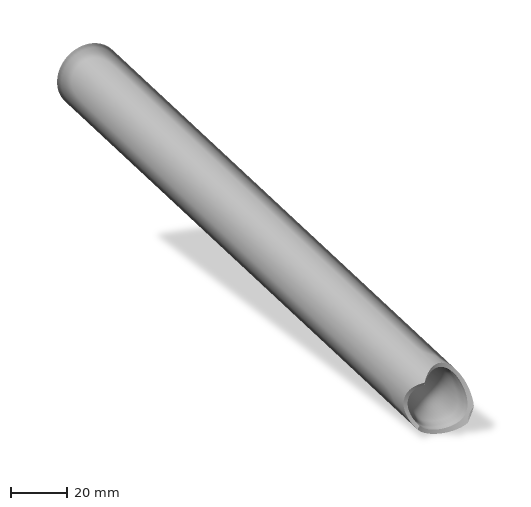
import cadquery as cq
import math

tube_diameter = 25.0
wall = 1.5

run_x = 100.0
run_y = 17.2
run_z = -22.0

crossing_diameter = 28.0
upper_distance = 258.0
upper_roll = 20.8
upper_lean = 15.8
side_distance = 260.9
side_roll = -85.0
side_lean = 18.0

overrun = tube_diameter
cutter_size = 4 * tube_diameter

origin = cq.Vector(0, 0, 0)
x_direction = cq.Vector(1, 0, 0)
z_direction = cq.Vector(0, 0, 1)
tube_axis = cq.Vector(run_x, run_y, run_z).normalized()
level_side = z_direction.cross(tube_axis).normalized()
upright = tube_axis.cross(level_side)


def make_rod(start, direction, diameter, length):
    return cq.Workplane(cq.Solid.makeCylinder(diameter / 2, length, start, direction))


def make_tube():
    """Straight tube, overlong at both ends."""
    start = tube_axis * -overrun
    length = overrun + side_distance + overrun
    outside = make_rod(start, tube_axis, tube_diameter, length)
    bore = make_rod(start, tube_axis, tube_diameter - 2 * wall, length)
    return outside.cut(bore)


def make_mitre_cutter():
    """Block whose face halves the angle between the tube and the X axis."""
    mitre_face = cq.Workplane(cq.Plane(origin, normal=tube_axis + x_direction))
    return mitre_face.rect(cutter_size, cutter_size).extrude(-cutter_size)


def make_notch_cutter(distance, roll_degrees, lean_degrees):
    """Crossing rod, together with everything beyond its axis."""
    roll = math.radians(roll_degrees)
    lean = math.radians(lean_degrees)
    square = upright * math.cos(roll) + level_side * math.sin(roll)
    rod_axis = square * math.cos(lean) - tube_axis * math.sin(lean)
    outward = tube_axis * math.cos(lean) + square * math.sin(lean)
    centre = tube_axis * distance
    rod_start = centre - rod_axis * (cutter_size / 2)
    rod = make_rod(rod_start, rod_axis, crossing_diameter, cutter_size)
    axis_plane = cq.Workplane(cq.Plane(centre, xDir=rod_axis, normal=outward))
    beyond = axis_plane.rect(cutter_size, cutter_size).extrude(cutter_size)
    return rod.union(beyond)


result = (
    make_tube()
    .cut(make_mitre_cutter())
    .cut(make_notch_cutter(upper_distance, upper_roll, upper_lean))
    .cut(make_notch_cutter(side_distance, side_roll, side_lean))
)